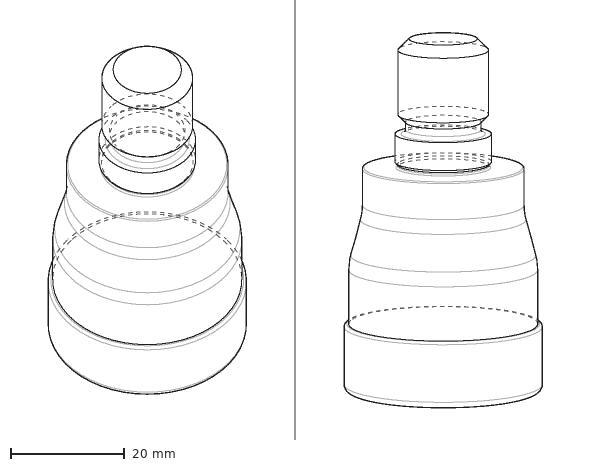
import cadquery as cq
import math

overall_height = 63.0
shoulder_z = 40.0
cutting_height = 12.0

cutting_radius = 34.92 / 2
cutting_top_fillet = 0.5
cutting_bottom_fillet = 1.2

body_radius = 16.65
shoulder_radius = 14.25
shoulder_fillet = 0.25
taper_angle = math.radians(15)
blend_radius = 10.0
upper_blend_z = 33.3

pilot_radius = 8.5
pilot_top_z = 46.0
pilot_relief_radius = 8.05
pilot_relief_fillet = 0.3
pilot_chamfer = pilot_radius - pilot_relief_radius
pilot_bottom_z = 41.0

thread_radius = 8.0
thread_bottom_z = 49.45
thread_chamfer = 2.0
thread_relief_radius = 6.65
thread_relief_fillet = 0.75
thread_runout_z = thread_bottom_z - (thread_radius - thread_relief_radius)


def build_cutting_disc():
    """Full disc swept by the cutting edges, rounded at both rims."""
    disc = cq.Workplane("XY").circle(cutting_radius).extrude(cutting_height)
    disc = disc.faces(">Z").edges().fillet(cutting_top_fillet)
    return disc.faces("<Z").edges().fillet(cutting_bottom_fillet)


def build_holder():
    """Turned holder: body, tapered neck, shoulder, pilot collar and stud."""
    blend_height = blend_radius * math.sin(taper_angle)
    blend_step = blend_radius * (1 - math.cos(taper_angle))
    half_blend_height = blend_radius * math.sin(taper_angle / 2)
    half_blend_step = blend_radius * (1 - math.cos(taper_angle / 2))

    cone_step = body_radius - shoulder_radius - 2 * blend_step
    cone_height = cone_step / math.tan(taper_angle)
    lower_blend_z = upper_blend_z - cone_height - 2 * blend_height

    arc_inset = 1 - math.sqrt(0.5)
    shoulder_inset = arc_inset * shoulder_fillet
    pilot_inset = arc_inset * pilot_relief_fillet
    thread_inset = arc_inset * thread_relief_fillet

    profile = (
        cq.Workplane("XZ")
        .moveTo(0, cutting_height)
        .lineTo(body_radius, cutting_height)
        .lineTo(body_radius, lower_blend_z)
        .threePointArc(
            (body_radius - half_blend_step, lower_blend_z + half_blend_height),
            (body_radius - blend_step, lower_blend_z + blend_height),
        )
        .lineTo(shoulder_radius + blend_step, upper_blend_z - blend_height)
        .threePointArc(
            (shoulder_radius + half_blend_step, upper_blend_z - half_blend_height),
            (shoulder_radius, upper_blend_z),
        )
        .lineTo(shoulder_radius, shoulder_z - shoulder_fillet)
        .threePointArc(
            (shoulder_radius - shoulder_inset, shoulder_z - shoulder_inset),
            (shoulder_radius - shoulder_fillet, shoulder_z),
        )
        .lineTo(pilot_relief_radius + pilot_relief_fillet, shoulder_z)
        .threePointArc(
            (pilot_relief_radius + pilot_inset, shoulder_z + pilot_inset),
            (pilot_relief_radius, shoulder_z + pilot_relief_fillet),
        )
        .lineTo(pilot_relief_radius, pilot_bottom_z - pilot_chamfer)
        .lineTo(pilot_radius, pilot_bottom_z)
        .lineTo(pilot_radius, pilot_top_z)
        .lineTo(thread_relief_radius + thread_relief_fillet, pilot_top_z)
        .threePointArc(
            (thread_relief_radius + thread_inset, pilot_top_z + thread_inset),
            (thread_relief_radius, pilot_top_z + thread_relief_fillet),
        )
        .lineTo(thread_relief_radius, thread_runout_z)
        .lineTo(thread_radius, thread_bottom_z)
        .lineTo(thread_radius, overall_height - thread_chamfer)
        .lineTo(thread_radius - thread_chamfer, overall_height)
        .lineTo(0, overall_height)
        .close()
    )
    return profile.revolve(360, (0, 0, 0), (0, 1, 0))


cutting_disc = build_cutting_disc()
holder = build_holder()
result = cq.Compound.makeCompound([cutting_disc.val(), holder.val()])